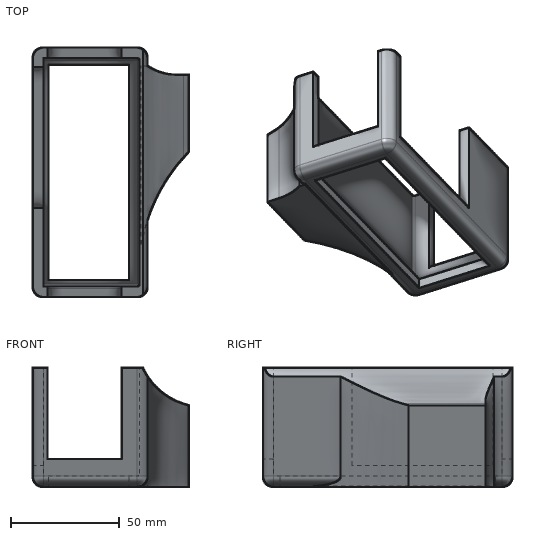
import cadquery as cq
import math


tub_width = 53.0
tub_length = 115.0
tub_height = 55.0
wall = 5.0
floor_thickness = 5.0
outer_radius = 5.0
cavity_width = 44.2
cavity_radius = 1.0
cavity_length = tub_length - 2 * wall

floor_opening_width = 37.0
floor_opening_length = 99.0
floor_opening_left = 7.4

end_slot_left = 7.0
end_slot_width = 34.0
end_slot_sill = 13.0
sill_radius = 1.0

window_length = 65.0
window_sill = 10.0
window_back_gap = 9.0

overall_width = 72.0
wing_overlap = 3.0
wing_root = tub_width - wing_overlap
wing_back_root = 106.5
wing_back = 102.5
wing_back_tangent = 66.0
wing_front_root = 23.5
wing_front_tip = 67.0
wing_front_radius = 80.0

scoop_radius = 30.0
scoop_x = 78.2
scoop_z = 67.1
scoop_end = 69.4


def box(x, y, z, width, length, height):
    """Block placed by its lowest corner."""
    return cq.Workplane("XY").box(width, length, height, centered=False).translate((x, y, z))


def make_tub_block():
    block = box(0, 0, 0, tub_width, tub_length, tub_height)
    return block.edges("|Z").fillet(outer_radius).edges("<Z").fillet(outer_radius)


def make_wing():
    """Wing outline with a concave arc on each side, as tall as the tub."""
    run = wing_back_tangent - tub_width
    drop = wing_back_root - wing_back
    back_radius = (run**2 + drop**2) / (2 * drop)
    return (
        cq.Workplane("XY")
        .moveTo(wing_root, wing_front_root)
        .radiusArc((overall_width, wing_front_tip), wing_front_radius)
        .lineTo(overall_width, wing_back)
        .lineTo(wing_back_tangent, wing_back)
        .radiusArc((tub_width, wing_back_root), back_radius)
        .lineTo(wing_root, wing_back_root)
        .close()
        .extrude(tub_height)
    )


def make_scoop():
    """Region above a concave arc that ends in a straight tangent, running along Y."""

    def arc_z(x):
        return scoop_z - math.sqrt(scoop_radius**2 - (x - scoop_x) ** 2)

    start_x = scoop_x - math.sqrt(scoop_radius**2 - (scoop_z - tub_height) ** 2)
    middle_x = (start_x + scoop_end) / 2
    end_z = arc_z(scoop_end)
    end_slope = (scoop_end - scoop_x) / (scoop_z - end_z)
    tip_z = end_z + end_slope * (overall_width - scoop_end)
    return (
        cq.Workplane("XZ")
        .moveTo(start_x, tub_height)
        .threePointArc((middle_x, arc_z(middle_x)), (scoop_end, end_z))
        .lineTo(overall_width, tip_z)
        .lineTo(overall_width, tub_height)
        .close()
        .extrude(-tub_length)
    )


def make_cavity():
    """Inner space, rounded on the floor, the ends and the right side but square on the left."""
    cavity = box(wall, wall, floor_thickness, cavity_width, cavity_length, tub_height)
    cavity = cavity.edges("|Z and >X").fillet(cavity_radius)
    return cavity.faces("<Z").edges("not(<X)").fillet(cavity_radius)


def make_floor_opening():
    front = (tub_length - floor_opening_length) / 2
    return box(floor_opening_left, front, 0, floor_opening_width, floor_opening_length, tub_height)


def make_end_slots():
    slot_height = tub_height - end_slot_sill
    return box(end_slot_left, 0, end_slot_sill, end_slot_width, tub_length, slot_height)


def make_window():
    front = tub_length - window_back_gap - window_length
    return box(0, front, window_sill, wall, window_length, tub_height - window_sill)


def make_sill_rounding():
    """Sliver that rounds the inner edge of the front slot sill."""
    inner_y = wall
    corner = box(end_slot_left, inner_y - sill_radius, end_slot_sill - sill_radius,
                 end_slot_width, sill_radius, sill_radius)
    rod = (
        cq.Workplane("YZ")
        .center(inner_y - sill_radius, end_slot_sill - sill_radius)
        .circle(sill_radius)
        .extrude(end_slot_left + end_slot_width)
    )
    return corner.cut(rod)


body = make_tub_block().union(make_wing())
body = body.cut(make_scoop())
body = body.cut(make_cavity())
body = body.cut(make_floor_opening())
body = body.cut(make_end_slots())
body = body.cut(make_window())
result = body.cut(make_sill_rounding())